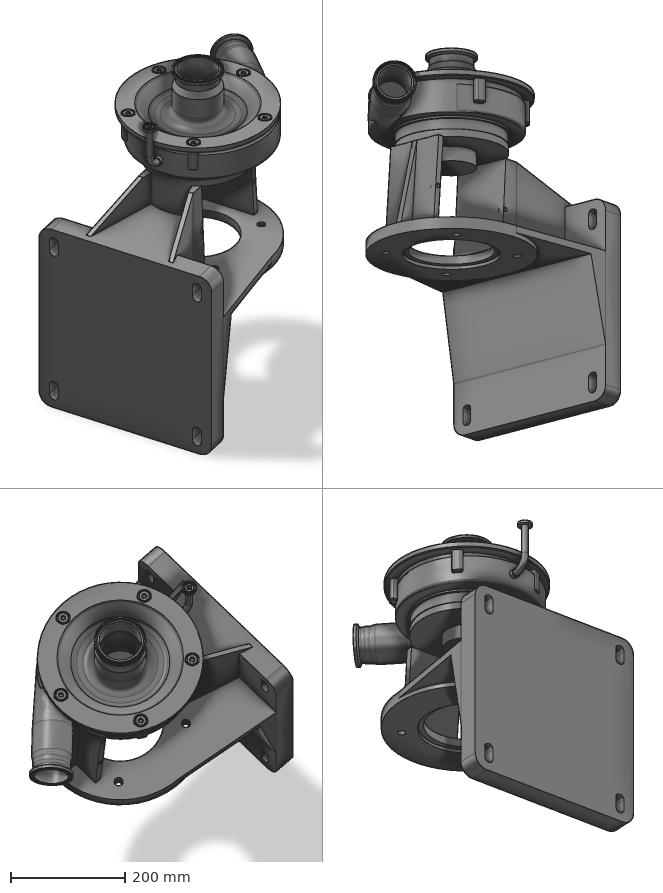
import cadquery as cq
import math


plate_width = 350.0
plate_height = 370.5
plate_thick = 40.5
plate_front_y = -251.0
plate_back_y = plate_front_y + plate_thick
plate_corner_r = 25.0
slot_width = 18.0
slot_length = 37.5
slot_spacing_x = 290.0
slot_spacing_z = 300.0

table_top = 271.0
table_thick = 13.0
table_bottom = table_top - table_thick
disc_r = 150.0
disc_thick = 21.5
table_bore_r = 75.5
register_r = 86.0
register_depth = 6.0
table_bolt_count = 4
table_bolt_circle_r = 115.0
table_bolt_hole_d = 15.5
web_top_y = -176.0
web_foot_z = 99.0

seat_r = 100.0
seat_bottom = 434.5
seat_top = 448.5
lantern_half_width = 55.0
front_inner_top_y = -82.0
front_inner_foot_y = -71.0
rib_start_y = -110.5
rib_end_y = -236.0
rib_slant = math.radians(14.7)
rib_inner_x = 46.0
rear_inner_top_y = 86.5
rear_inner_foot_y = 100.0
rear_wall_thick = 12.0
gusset_foot_y = 142.5
gusset_thick = 10.5
guard_hole_d = 8.0
guard_hole_z = 340.5
guard_hole_depth = 12.0
guard_hole_ys = (-80.5, 101.0)

pump_seat_r = 99.0
hub_r = 43.5
hub_bottom = 408.0
lip_r = 103.0
volute_bottom = 472.0
volute_top = 523.0
lip_bottom = volute_bottom - 3.5
neck_r = 125.0
cover_r = 145.0
cover_top = 543.0
cover_bottom = 533.0
cover_chamfer = 2.0
volute_start_deg = 135.0
volute_sweep_deg = 290.0
volute_start_r = neck_r
volute_growth = 23.5
volute_growth_power = 1.3
volute_fillet = 3.5

dish_rim_r = 110.5
dish_chamfer = 2.5
dish_cone_end_r = 86.5
dish_cone_end_z = 525.5
dish_floor_r = 77.0
dish_floor_z = 520.0
flare_r = 20.0

inlet_top = 614.5
inlet_r = 45.5
inlet_neck_r = 39.5
inlet_bore_r = 37.0
inlet_wide_bore_r = 42.0
inlet_wide_bore_top = 574.0
inlet_bore_floor = 479.5
ferrule_thick = 5.5
ferrule_bevel = 3.0
gasket_depth = 2.0
inlet_gasket_radii = (40.5, 43.0)
inlet_neck_end = 593.0
inlet_cone_end = 579.5

screw_count = 5
screw_first_deg = 9.0
screw_circle_r = 126.0
lug_width = 19.5
lug_length = 22.0
lug_bottom = 490.5
lug_chamfer = 2.5
lug_corner_r = 5.0
recess_r = 12.0
recess_depth = 7.5
screw_head_r = 9.0
socket_across_corners = 9.0
socket_depth = 5.0

outlet_deg = 135.0
outlet_offset = 115.5
outlet_root_offset = 121.5
outlet_z = (volute_bottom + volute_top) / 2
outlet_end = 211.0
outlet_neck_end = 183.0
outlet_cone_end = 172.5
outlet_diffuser_end = 118.0
outlet_r = 35.5
outlet_neck_r = 33.0
outlet_tail_r = 32.0
outlet_tail_end = 198.0
outlet_tail_start = 192.0
outlet_ferrule_r = 38.0
outlet_gasket_radii = (33.0, 35.5)
outlet_bore_r = 29.5
outlet_root_r = 25.0

flush_r = 6.0
flush_bore_r = 4.0
flush_y = -166.5
flush_z = 499.5
flush_bend_r = 27.0
flush_top = 587.5
flush_ferrule_r = 13.0
flush_gasket_radii = (8.0, 10.5)
flush_ferrule_thick = 5.0
flush_socket_r = 7.7
flush_socket_end_y = -141.0


def cylinder(radius, bottom, top):
    return cq.Workplane("XY").workplane(offset=bottom).circle(radius).extrude(top - bottom)


def side_profile(points, half_width):
    """Extrude a (Y, Z) outline symmetrically along X."""
    return cq.Workplane("YZ").polyline(points).close().extrude(half_width, both=True)


def make_wall_plate():
    centre_z = plate_height / 2
    plate = (
        cq.Workplane("XZ", origin=(0, plate_front_y, centre_z))
        .rect(plate_width, plate_height)
        .extrude(-plate_thick)
        .edges("|Y")
        .fillet(plate_corner_r)
    )
    slots = (
        cq.Workplane("XZ", origin=(0, plate_front_y, centre_z))
        .rect(slot_spacing_x, slot_spacing_z, forConstruction=True)
        .vertices()
        .slot2D(slot_length, slot_width, 90)
        .extrude(-plate_thick)
    )
    return plate.cut(slots)


def table_outline():
    """Half disc at the rear, with straight sides widening to the ends of the plate."""
    corner_x = plate_width / 2
    return (
        cq.Workplane("XY")
        .moveTo(corner_x, plate_back_y)
        .lineTo(disc_r, 0)
        .threePointArc((0, disc_r), (-disc_r, 0))
        .lineTo(-corner_x, plate_back_y)
        .close()
    )


def make_table():
    table = table_outline().extrude(table_thick).translate((0, 0, table_bottom))
    disc = cylinder(disc_r, table_top - disc_thick, table_top)
    web = side_profile(
        [(web_top_y, table_bottom), (plate_back_y, table_bottom), (plate_back_y, web_foot_z)],
        plate_width / 2,
    ).intersect(table_outline().extrude(table_top))
    bore = cylinder(table_bore_r, table_top - disc_thick, table_top)
    register = cylinder(register_r, table_top - disc_thick, table_top - disc_thick + register_depth)
    bolt_holes = (
        cq.Workplane("XY", origin=(0, 0, table_top))
        .polarArray(table_bolt_circle_r, 45, 360, table_bolt_count)
        .circle(table_bolt_hole_d / 2)
        .extrude(-disc_thick)
    )
    return table.union(disc).union(web).cut(bore).cut(register).cut(bolt_holes)


def make_front_support():
    """Curved front wall, the block between the ribs and the two slanted ribs."""
    slant = math.tan(rib_slant)
    rib_length = rib_start_y - rib_end_y
    outer_end_x = lantern_half_width + rib_length * slant
    inner_end_x = rib_inner_x + rib_length * slant
    inner_start_x = rib_inner_x - (front_inner_foot_y - rib_start_y) * slant

    wall = (
        cylinder(seat_r, table_top, seat_bottom)
        .intersect(
            cq.Workplane("XY").box(2 * lantern_half_width, 2 * seat_r, 2 * seat_bottom)
        )
    )
    filler = (
        cq.Workplane("XY", origin=(0, 0, table_top))
        .polyline(
            [
                (-inner_start_x, front_inner_foot_y),
                (inner_start_x, front_inner_foot_y),
                (inner_end_x, rib_end_y),
                (-inner_end_x, rib_end_y),
            ]
        )
        .close()
        .extrude(plate_height - table_top)
    )
    support = wall.union(filler)
    for side in (-1, 1):
        rib = (
            cq.Workplane("XY", origin=(0, 0, table_top))
            .polyline(
                [
                    (side * lantern_half_width, front_inner_foot_y),
                    (side * lantern_half_width, rib_start_y),
                    (side * outer_end_x, rib_end_y),
                    (side * inner_end_x, rib_end_y),
                    (side * inner_start_x, front_inner_foot_y),
                ]
            )
            .close()
            .extrude(seat_bottom - table_top)
        )
        support = support.union(rib)

    envelope = side_profile(
        [
            (front_inner_foot_y, table_top),
            (front_inner_top_y, seat_bottom),
            (rib_start_y, seat_bottom),
            (rib_end_y, plate_height),
            (plate_back_y, plate_height),
            (plate_back_y, table_top),
        ],
        plate_width / 2,
    )
    return support.intersect(envelope)


def make_rear_support():
    wall = side_profile(
        [
            (rear_inner_foot_y, table_top),
            (rear_inner_foot_y + rear_wall_thick, table_top),
            (rear_inner_top_y + rear_wall_thick, seat_bottom),
            (rear_inner_top_y, seat_bottom),
        ],
        lantern_half_width,
    )
    gusset = side_profile(
        [
            (rear_inner_foot_y, table_top),
            (gusset_foot_y, table_top),
            (rear_inner_top_y + rear_wall_thick, seat_bottom),
            (rear_inner_top_y, seat_bottom),
        ],
        gusset_thick / 2,
    )
    return wall.union(gusset)


def make_guard_holes():
    """Small blind holes in both side faces of the lantern walls."""
    hole_points = [(hole_y, guard_hole_z) for hole_y in guard_hole_ys]
    drills = cq.Workplane("YZ").pushPoints(hole_points).circle(guard_hole_d / 2)
    solid_half_width = lantern_half_width - guard_hole_depth
    core = cq.Workplane("XY").box(2 * solid_half_width, 2 * disc_r, 2 * seat_bottom)
    return drills.extrude(lantern_half_width, both=True).cut(core)


def make_volute():
    """Spiral casing whose radius grows ever faster from its tongue to the outlet."""

    def spiral(t):
        angle = math.radians(volute_start_deg + t * volute_sweep_deg)
        radius = volute_start_r + volute_growth * t**volute_growth_power
        return (radius * math.cos(angle), radius * math.sin(angle))

    return (
        cq.Workplane("XY")
        .moveTo(*spiral(1))
        .lineTo(*spiral(0))
        .parametricCurve(spiral, N=24, makeWire=False)
        .wire()
        .extrude(volute_top - volute_bottom)
        .translate((0, 0, volute_bottom))
        .faces("<Z")
        .edges("%BSPLINE")
        .fillet(volute_fillet)
    )


def make_cover():
    """Cover with its dished face and the inlet pipe, turned about the pump axis."""
    flare_start_r = inlet_r + flare_r
    flare_mid = flare_r * (1 - math.sqrt(0.5))
    return (
        cq.Workplane("XZ")
        .moveTo(0, volute_top)
        .lineTo(0, inlet_top)
        .lineTo(inlet_r, inlet_top)
        .lineTo(inlet_r, inlet_top - ferrule_thick)
        .lineTo(inlet_neck_r, inlet_top - ferrule_thick - ferrule_bevel)
        .lineTo(inlet_neck_r, inlet_neck_end)
        .lineTo(inlet_r, inlet_cone_end)
        .lineTo(inlet_r, dish_floor_z + flare_r)
        .threePointArc(
            (inlet_r + flare_mid, dish_floor_z + flare_mid),
            (flare_start_r, dish_floor_z),
        )
        .lineTo(dish_floor_r, dish_floor_z)
        .tangentArcPoint((dish_cone_end_r, dish_cone_end_z), relative=False)
        .lineTo(dish_rim_r - dish_chamfer, cover_top - dish_chamfer)
        .lineTo(dish_rim_r, cover_top)
        .lineTo(cover_r, cover_top)
        .lineTo(cover_r, cover_bottom + cover_chamfer)
        .lineTo(cover_r - cover_chamfer, cover_bottom)
        .lineTo(neck_r, cover_bottom)
        .lineTo(neck_r, volute_bottom)
        .lineTo(0, volute_bottom)
        .close()
        .revolve(360, (0, 0, 0), (0, 1, 0))
    )


def make_dish_clearance():
    """Space of the dish that lies below the top of the volute."""
    return cylinder(dish_cone_end_r, dish_floor_z, volute_top)


def make_lugs():
    """Square lugs under the screws, reaching out past the casing."""
    return (
        cq.Workplane("XY", origin=(0, 0, lug_bottom))
        .polarArray(screw_circle_r, screw_first_deg, 360, screw_count)
        .rect(lug_length, lug_width)
        .extrude(cover_bottom - lug_bottom)
        .edges("|Z")
        .fillet(lug_corner_r)
        .faces("<Z")
        .chamfer(lug_chamfer)
    )


def make_screw_recesses():
    """Ring gaps around the sunk screw heads, and their hexagon sockets."""
    face = cq.Workplane("XY", origin=(0, 0, cover_top)).polarArray(
        screw_circle_r, screw_first_deg, 360, screw_count
    )
    gaps = face.circle(recess_r).circle(screw_head_r).extrude(-recess_depth)
    sockets = face.polygon(6, socket_across_corners).extrude(-socket_depth)
    return gaps.union(sockets)


def outlet_plane(along, offset):
    """Plane square to the outlet, facing outwards."""
    angle = math.radians(outlet_deg)
    direction = (math.cos(angle), math.sin(angle))
    side = (direction[1], -direction[0])
    origin = (
        along * direction[0] + offset * side[0],
        along * direction[1] + offset * side[1],
        outlet_z,
    )
    return cq.Plane(origin=origin, xDir=(side[0], side[1], 0), normal=(direction[0], direction[1], 0))


def outlet_section(along, offset, radius):
    plane = outlet_plane(along, offset)
    return cq.Wire.makeCircle(radius, plane.origin, plane.zDir)


def make_outlet():
    pipe_start = outlet_plane(0, outlet_offset)
    ferrule_back = outlet_end - ferrule_thick
    pipe = (
        cq.Workplane(cq.Plane(origin=pipe_start.origin, xDir=pipe_start.xDir, normal=(0, 0, 1)))
        .moveTo(0, outlet_diffuser_end)
        .lineTo(outlet_r, outlet_diffuser_end)
        .lineTo(outlet_r, outlet_cone_end)
        .lineTo(outlet_neck_r, outlet_neck_end)
        .lineTo(outlet_neck_r, outlet_tail_start)
        .lineTo(outlet_tail_r, outlet_tail_end)
        .lineTo(outlet_tail_r, ferrule_back - ferrule_bevel)
        .lineTo(outlet_ferrule_r, ferrule_back)
        .lineTo(outlet_ferrule_r, outlet_end)
        .lineTo(0, outlet_end)
        .close()
        .revolve(360, (0, 0, 0), (0, 1, 0))
    )
    diffuser = cq.Solid.makeLoft(
        [
            outlet_section(0, outlet_root_offset, outlet_root_r),
            outlet_section(outlet_diffuser_end, outlet_offset, outlet_r),
        ],
        True,
    )
    return pipe.union(cq.Workplane(diffuser))


def make_outlet_bore():
    return (
        cq.Workplane(outlet_plane(outlet_diffuser_end, outlet_offset))
        .circle(outlet_bore_r)
        .extrude(outlet_end - outlet_diffuser_end)
    )


def flush_sweep(radius):
    """Round bar along the flush pipe: out of the casing, round the bend, then up."""
    start_y = -neck_r
    path = (
        cq.Workplane("YZ")
        .moveTo(start_y, flush_z)
        .lineTo(flush_y + flush_bend_r, flush_z)
        .tangentArcPoint((flush_y, flush_z + flush_bend_r), relative=False)
        .lineTo(flush_y, flush_top)
    )
    return cq.Workplane("XZ", origin=(0, start_y, flush_z)).circle(radius).sweep(path)


def make_flush_pipe():
    ferrule = cylinder(flush_ferrule_r, flush_top - flush_ferrule_thick, flush_top)
    socket = (
        cq.Workplane("XZ", origin=(0, flush_socket_end_y, flush_z))
        .circle(flush_socket_r)
        .extrude(flush_socket_end_y + neck_r)
    )
    return flush_sweep(flush_r).union(ferrule.translate((0, flush_y, 0))).union(socket)


def gasket_groove(end_plane, radii):
    inner_r, outer_r = radii
    return cq.Workplane(end_plane).circle(outer_r).circle(inner_r).extrude(-gasket_depth)


def make_gasket_grooves():
    """Ring grooves in the end faces of the three ferrules."""
    inlet_plane = cq.Plane(origin=(0, 0, inlet_top))
    flush_plane = cq.Plane(origin=(0, flush_y, flush_top))
    return (
        gasket_groove(inlet_plane, inlet_gasket_radii)
        .union(gasket_groove(flush_plane, flush_gasket_radii))
        .union(gasket_groove(outlet_plane(outlet_end, outlet_offset), outlet_gasket_radii))
    )


bracket = (
    make_wall_plate()
    .union(make_table())
    .union(make_front_support())
    .union(make_rear_support())
    .union(cylinder(seat_r, seat_bottom, seat_top))
    .cut(make_guard_holes())
)

pump = (
    cylinder(hub_r, hub_bottom, seat_bottom)
    .union(cylinder(pump_seat_r, seat_top, lip_bottom))
    .union(cylinder(lip_r, lip_bottom, volute_bottom))
    .union(make_volute())
    .union(make_lugs())
    .union(make_outlet())
    .union(make_flush_pipe())
    .cut(make_dish_clearance())
    .union(make_cover())
    .cut(make_screw_recesses())
    .cut(cylinder(inlet_bore_r, inlet_bore_floor, inlet_top))
    .cut(cylinder(inlet_wide_bore_r, inlet_bore_floor, inlet_wide_bore_top))
    .cut(make_gasket_grooves())
    .cut(make_outlet_bore())
    .cut(flush_sweep(flush_bore_r))
)

result = bracket.union(pump)